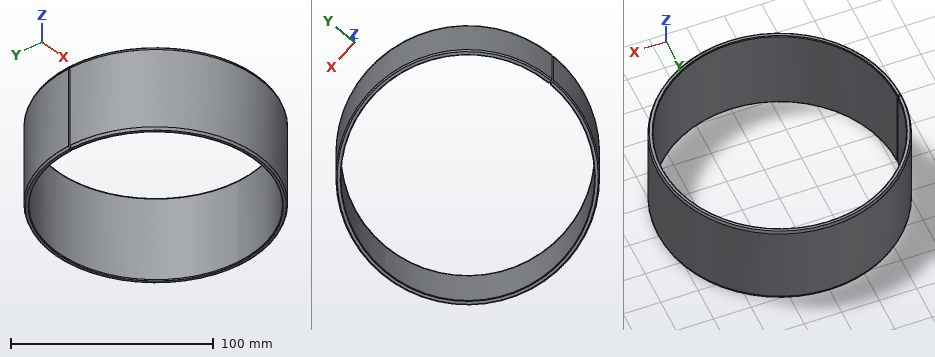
import cadquery as cq

outer_diameter = 130.0
wall = 2.5
height = 50.0
slit_width = 1.0

outer_bevel_depth = 0.6
outer_bevel_height = 1.5
inner_bevel_depth = 0.32
inner_bevel_height = 0.58

outer_radius = outer_diameter / 2
inner_radius = outer_radius - wall
half_height = height / 2


def sleeve():
    """Revolve the wall section, beveled at its four corners."""
    outer_rim_radius = outer_radius - outer_bevel_depth
    inner_rim_radius = inner_radius + inner_bevel_depth
    outer_bevel_start = half_height - outer_bevel_height
    inner_bevel_start = half_height - inner_bevel_height
    section = (
        cq.Workplane("XZ")
        .moveTo(inner_radius, -inner_bevel_start)
        .lineTo(inner_rim_radius, -half_height)
        .lineTo(outer_rim_radius, -half_height)
        .lineTo(outer_radius, -outer_bevel_start)
        .lineTo(outer_radius, outer_bevel_start)
        .lineTo(outer_rim_radius, half_height)
        .lineTo(inner_rim_radius, half_height)
        .lineTo(inner_radius, inner_bevel_start)
        .close()
    )
    return section.revolve(360, (0, 0, 0), (0, 1, 0))


def slit():
    """Full-height cutter through the -X wall, with one side on the XZ plane."""
    cutter = cq.Workplane("XY").box(outer_diameter, slit_width, height, centered=(False, False, True))
    return cutter.translate((-outer_diameter, 0, 0))


result = sleeve().cut(slit())